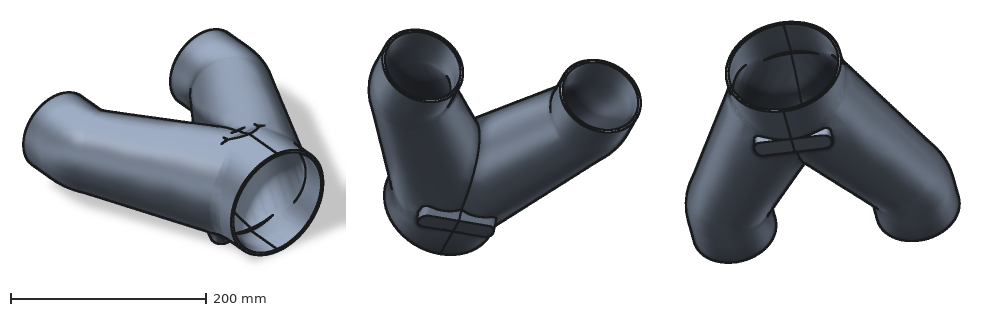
import cadquery as cq
import math

length = 245.0
width = 277.7
wall = 2.92

arm_radius = 87.0 / 2
arm_offset = width / 2 - arm_radius
bend_start = 33.3
bend_angle = 29.8
bend_inner_radius = 0.35
bend_radius = arm_radius + bend_inner_radius
taper_angle = 4.6

inlet_radius = 120.0 / 2
ramp_start_x = 179.5
ramp_start_z = 54.7
ramp_bend_x = 188.0
ramp_bend_z = 56.0
ramp_end_x = 198.3
ramp_half_width = 20.0
bore_start = ramp_end_x + wall
blend_radius = 30.5

foot_half_width = 40.0
foot_front = 179.5
foot_back = 200.5
foot_height = 16.7
foot_corner = 7.8

bend = math.radians(bend_angle)
bend_centre_y = arm_offset - bend_radius
taper_start_x = bend_start + bend_radius * math.sin(bend)
taper_start_y = bend_centre_y + bend_radius * math.cos(bend)
taper_length = taper_start_y / math.sin(bend)
taper_growth = taper_length * math.tan(math.radians(taper_angle))


def x_cylinder(radius, x_start, x_end, y=0.0):
    """Solid cylinder along X."""
    return cq.Workplane("YZ", origin=(x_start, y, 0)).circle(radius).extrude(x_end - x_start)


def arm(radius):
    """Solid arm on the +Y side: straight collar, bend, then a cone that reaches the joint plane."""
    straight = x_cylinder(radius, 0, bend_start, arm_offset)
    elbow = (
        cq.Workplane("YZ", origin=(bend_start, arm_offset, 0))
        .circle(radius)
        .revolve(bend_angle, (-bend_radius, 0, 0), (-bend_radius, -1, 0))
    )
    taper_plane = cq.Plane(
        origin=(taper_start_x, taper_start_y, 0),
        xDir=(0, 0, 1),
        normal=(math.cos(bend), -math.sin(bend), 0),
    )
    taper = (
        cq.Workplane(taper_plane)
        .circle(radius)
        .workplane(offset=taper_length)
        .circle(radius + taper_growth)
        .loft()
    )
    return straight.union(elbow).union(taper)


def side_prism(points, half_width):
    """Prism with an XZ outline, centred on the joint plane."""
    return cq.Workplane("XZ").polyline(points).close().extrude(half_width, both=True)


def lower_ramp():
    """Gently sloping block that leads from the arms to the front of the inlet cylinder."""
    return side_prism(
        [
            (ramp_start_x, 0),
            (ramp_start_x, ramp_start_z),
            (ramp_bend_x, ramp_bend_z),
            (ramp_bend_x, 0),
        ],
        ramp_half_width,
    )


def above_upper_ramp():
    """Wedge to remove above the steeper slope on the front edge of the inlet cylinder."""
    return side_prism(
        [
            (ramp_bend_x, ramp_bend_z),
            (ramp_end_x, inlet_radius),
            (ramp_bend_x, inlet_radius),
        ],
        inlet_radius,
    )


def foot():
    """Flat-bottomed foot with a 45 degree front face, a vertical back face and rounded corners."""
    block = side_prism(
        [
            (foot_front, -inlet_radius),
            (foot_back, -inlet_radius),
            (foot_back, -inlet_radius + foot_height),
            (foot_front - foot_height, -inlet_radius + foot_height),
        ],
        foot_half_width,
    )
    front_edges = block.faces("<X").edges("not |Y")
    back_edges = block.faces(">X").edges("|Z")
    return block.newObject(front_edges.vals() + back_edges.vals()).fillet(foot_corner)


def half_space():
    """Block that covers everything on the +Y side of the joint plane."""
    return cq.Workplane("XY").box(2 * length, width, width, centered=(True, False, True))


def blended_arm():
    """Outer half of arm and inlet cylinder, with a fillet where the two meet at the side."""
    inlet = x_cylinder(inlet_radius, ramp_bend_x, length)
    body = arm(arm_radius).union(inlet).intersect(half_space())
    joint_zone = cq.selectors.BoxSelector(
        (ramp_bend_x, wall, -inlet_radius), (length - wall, width, inlet_radius))
    side_joint = max(body.edges(joint_zone).vals(), key=lambda edge: edge.Length())
    return body.newObject([side_joint]).fillet(blend_radius)


def half_shell():
    """Half of the manifold on the +Y side of the joint plane."""
    body = blended_arm().cut(above_upper_ramp())
    body = body.union(lower_ramp().intersect(half_space()))
    body = body.union(foot().intersect(half_space()))
    inlet_bore = x_cylinder(inlet_radius - wall, bore_start, length)
    return body.cut(arm(arm_radius - wall)).cut(inlet_bore)


left_half = half_shell()
right_half = left_half.mirror("XZ")

result = cq.Compound.makeCompound([left_half.val(), right_half.val()])